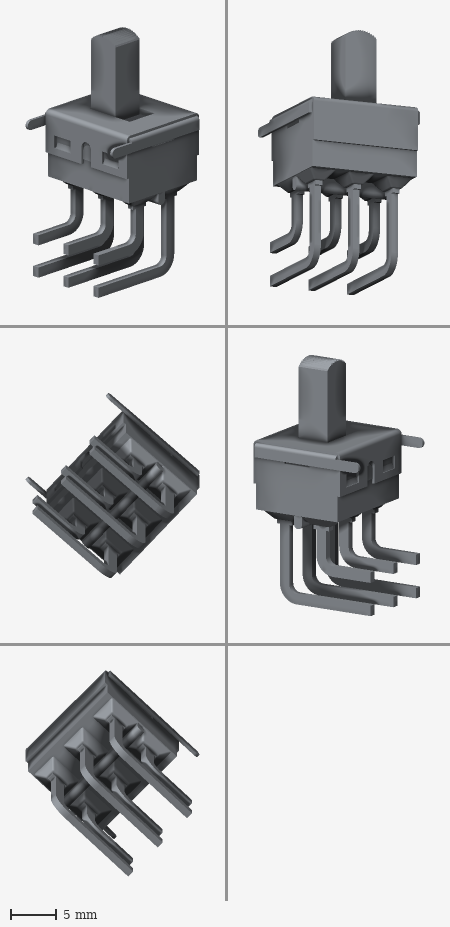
import cadquery as cq
import math


overall_depth = 14.61
overall_height = 27.53

width = 12.7
body_depth = 10.7
cover_depth = 11.4
cover_bottom = 2.95
cover_top = 7.96
cover_corner = 0.55
sheet = (cover_depth - body_depth) / 2

catch_spacing = 7.48
catch_window_width = 2.55
catch_bottom = 3.78
catch_top = 5.25
catch_width = 2.27
catch_reach = 0.25
catch_height = 0.6
catch_shift = 0.05
notch_width = 1.45
notch_top = 5.7
stud_bottom = 3.47
stud_top = 5.23
stud_height = 0.1

opening_length = 6.2
opening_width = 3.95
opening_depth = 0.68
lever_size = 3.8
lever_center = -1.09
lever_top = 17.0
crest_radius = 2.75
tooth_pitch = 0.26
tooth_flank = 0.17
tooth_depth = 0.25
teeth_per_side = 7

arm_span = 13.57
arm_sheet = 0.35
arm_fold = (arm_span - width) / 2
arm_flange_top = 7.66
arm_bottom = 6.09
arm_back = 5.3
arm_front = -8.42
side_recess_width = 3.3
side_recess_bottom = 5.74
side_recess_depth = 0.3

cone_length = 3.1
cone_width = 4.3
cone_height = 1.05
cone_taper = 41
cone_round = 0.28
bar_length = 12.25
bar_width = 1.05
bar_flat = 0.005
bar_drop = 1.57
column_pitch = 4.7
row_pitch = 4.82
pin_width = 0.8
pin_thickness = 1.25
tail_thickness = 1.2
shoulder_width = 2.05
shoulder_drop = 1.57
pin_bend = 1.0
pin_end = cover_depth / 2 - overall_depth
long_drop = overall_height - lever_top
drop_step = 3.81


def block(x_limits, y_limits, z_limits):
    """A box between the given limits."""
    size = [high - low for low, high in (x_limits, y_limits, z_limits)]
    corner = (x_limits[0], y_limits[0], z_limits[0])
    return cq.Workplane("XY").box(*size, centered=False).translate(corner)


def centered_block(length, depth, bottom, top, x=0, y=0):
    """A box centred on (x, y) between two heights."""
    return block((x - length / 2, x + length / 2), (y - depth / 2, y + depth / 2), (bottom, top))


def arched_slab(bottom, top, y_outer, y_inner):
    """A round-topped slab as wide as the cover notch."""
    radius = notch_width / 2
    return (
        cq.Workplane("XZ", origin=(0, y_outer, 0))
        .moveTo(-radius, bottom)
        .lineTo(-radius, top - radius)
        .threePointArc((0, top), (radius, top - radius))
        .lineTo(radius, bottom)
        .close()
        .extrude(y_outer - y_inner)
    )


def make_housing():
    """The body inside its folded cover, with the slide opening cut in the top."""
    body = centered_block(width, body_depth, 0, cover_top - sheet)
    cover = centered_block(width, cover_depth, cover_bottom, cover_top)
    cover = cover.edges("|X and >Z").fillet(cover_corner)
    opening = centered_block(opening_length, opening_width, cover_top - opening_depth, cover_top)
    return body.union(cover).cut(opening)


def make_catch(x):
    """A ramp on the front of the body that fills the lower part of a cover window."""
    face = -body_depth / 2
    return (
        cq.Workplane("YZ", origin=(x - catch_width / 2, 0, 0))
        .moveTo(face, catch_bottom)
        .lineTo(face - catch_reach, catch_bottom)
        .lineTo(face, catch_bottom + catch_height)
        .close()
        .extrude(catch_width)
    )


def cut_front_wall(housing):
    """Cut the notch and the two windows through the front wall, and add what shows in them."""
    face = -body_depth / 2
    outside = -cover_depth / 2
    housing = housing.cut(arched_slab(cover_bottom, notch_top, face, outside))
    housing = housing.union(arched_slab(stud_bottom, stud_top, face, face - stud_height))
    for side in (-1, 1):
        x = side * catch_spacing / 2
        x_limits = (x - catch_window_width / 2, x + catch_window_width / 2)
        housing = housing.cut(block(x_limits, (outside, face), (catch_bottom, catch_top)))
        housing = housing.union(make_catch(x - side * catch_shift))
    return housing


def crest(x):
    """Height of the toothed crest at a distance x from the middle of the lever."""
    return lever_top - crest_radius + math.sqrt(crest_radius ** 2 - x ** 2)


def make_lever():
    """The square lever with a crowned, serrated top."""
    half = lever_size / 2
    right = []
    for number in range(teeth_per_side):
        tip = number * tooth_pitch
        right.append((tip, crest(tip)))
        right.append((tip + tooth_flank, crest(tip) - tooth_depth))
    last_tip = teeth_per_side * tooth_pitch
    right.append((last_tip, crest(last_tip)))
    right.append((half, crest(half) - tooth_depth / 2))
    left = [(-x, z) for x, z in reversed(right[1:])]
    floor = cover_top - opening_depth
    outline = [(-half, floor)] + left + right + [(half, floor)]
    return (
        cq.Workplane("XZ", origin=(lever_center, half, 0))
        .polyline(outline)
        .close()
        .extrude(lever_size)
    )


def make_arm():
    """The flange folded down along the +X side, and the round-ended arm it reaches forward."""
    inside = arm_span / 2 - arm_sheet
    bend_z = arm_flange_top - arm_fold
    inner_fold = arm_fold - arm_sheet
    diagonal = math.sqrt(0.5)
    root = width / 2
    flange = (
        cq.Workplane("XZ", origin=(0, arm_back, 0))
        .moveTo(root, arm_flange_top)
        .threePointArc(
            (root + arm_fold * diagonal, bend_z + arm_fold * diagonal),
            (root + arm_fold, bend_z),
        )
        .lineTo(root + arm_fold, arm_bottom)
        .lineTo(inside, arm_bottom)
        .lineTo(inside, bend_z)
        .threePointArc(
            (root + inner_fold * diagonal, bend_z + inner_fold * diagonal),
            (root, bend_z + inner_fold),
        )
        .close()
        .extrude(arm_back + body_depth / 2)
    )
    radius = (bend_z - arm_bottom) / 2
    arm = (
        cq.Workplane("YZ", origin=(inside, 0, 0))
        .moveTo(arm_back, arm_bottom)
        .lineTo(arm_front + radius, arm_bottom)
        .threePointArc((arm_front, arm_bottom + radius), (arm_front + radius, bend_z))
        .lineTo(arm_back, bend_z)
        .close()
        .extrude(arm_sheet)
    )
    return flange.union(arm)


def make_side_recess():
    """A shallow pocket in the body behind the +X arm."""
    x = (width - side_recess_depth) / 2
    top = arm_flange_top - arm_sheet
    return centered_block(side_recess_depth, side_recess_width, side_recess_bottom, top, x)


def make_cone(x, y):
    """The tapered sealing mound around one terminal."""
    cone = cq.Workplane("XY").rect(cone_length, cone_width).extrude(-cone_height, taper=cone_taper)
    cone = cone.edges("not >Z").fillet(cone_round)
    return cone.translate((x, y, 0))


def make_terminal(x, y, drop):
    """A shouldered pin that runs down and bends forward."""
    back = y + pin_thickness / 2
    front = y - pin_thickness / 2
    tail_top = tail_thickness - drop
    outer = pin_bend + tail_thickness
    diagonal = math.sqrt(0.5)
    inner_y = front - pin_bend
    inner_z = tail_top + pin_bend
    outer_y = back - outer
    outer_z = outer - drop
    pin = (
        cq.Workplane("YZ", origin=(x - pin_width / 2, 0, 0))
        .moveTo(back, 0)
        .lineTo(back, outer_z)
        .threePointArc((outer_y + outer * diagonal, outer_z - outer * diagonal), (outer_y, -drop))
        .lineTo(pin_end, -drop)
        .lineTo(pin_end, tail_top)
        .lineTo(inner_y, tail_top)
        .threePointArc((inner_y + pin_bend * diagonal, inner_z - pin_bend * diagonal), (front, inner_z))
        .lineTo(front, 0)
        .close()
        .extrude(pin_width)
    )
    return pin.union(centered_block(pin_width, shoulder_width, -shoulder_drop, 0, x, y))


def make_bar():
    """The round-edged bar between the two rows of terminals."""
    bar = centered_block(bar_length, bar_width, -bar_drop, 0)
    return bar.edges("|X and <Z").fillet(bar_width / 2 - bar_flat)


result = cut_front_wall(make_housing()).union(make_lever()).union(make_bar())
side_recess = make_side_recess()
result = result.cut(side_recess).cut(side_recess.mirror("YZ"))
arm = make_arm()
result = result.union(arm).union(arm.mirror("YZ"))
for y, drop in ((row_pitch / 2, long_drop), (-row_pitch / 2, long_drop - drop_step)):
    for column in (-1, 0, 1):
        x = column * column_pitch
        result = result.union(make_cone(x, y)).union(make_terminal(x, y, drop))